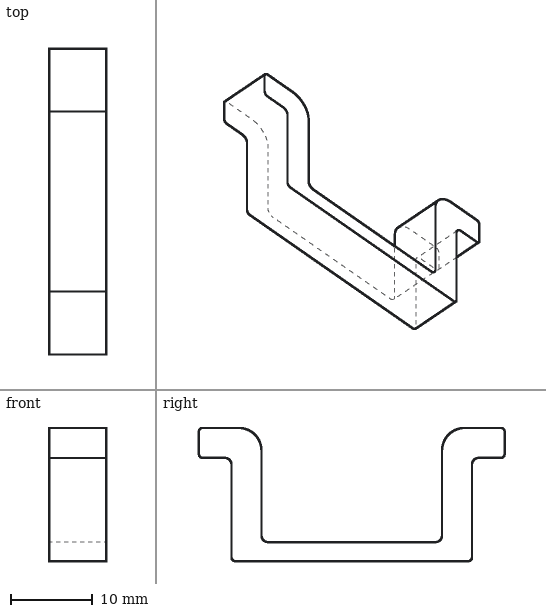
import cadquery as cq

width = 7.0
length = 37.5
height = 16.36

channel_length = 29.5
wall = 3.7
floor = 2.36

shoulder_radius = 2.8
inner_radius = 0.8
edge_radius = 0.5

tip_y = length / 2
outer_y = channel_length / 2
inner_y = outer_y - wall
flange_z = height - wall


def make_profile():
    """Solid hat section with sharp corners, centred on Y, standing on Z = 0."""
    half = [
        (0, 0),
        (outer_y, 0),
        (outer_y, flange_z),
        (tip_y, flange_z),
        (tip_y, height),
        (inner_y, height),
        (inner_y, floor),
        (0, floor),
    ]
    half_body = cq.Workplane("YZ").polyline(half).close().extrude(width / 2, both=True)
    return half_body.union(half_body.mirror("XZ")).clean()


def round_corners(body, corners, radius):
    """Fillet the X-direction edges at the given (y, z) corners, on both sides."""
    for y, z in corners:
        for side in (-1, 1):
            edge = cq.selectors.NearestToPointSelector((0, side * y, z))
            body = body.edges("|X").edges(edge).fillet(radius)
    return body


result = make_profile()
result = round_corners(result, [(inner_y, height)], shoulder_radius)
result = round_corners(result, [(inner_y, floor), (outer_y, flange_z)], inner_radius)
result = round_corners(result, [(outer_y, 0), (tip_y, flange_z), (tip_y, height)], edge_radius)